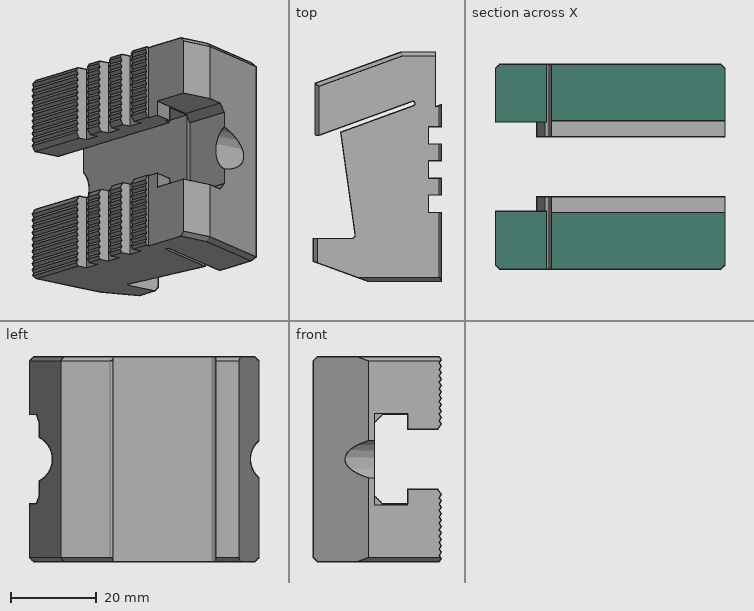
import math

import cadquery as cq

DEPTH = 30.0
LENGTH = 53.73
HEIGHT = 48.0

SLOPE = math.tan(math.radians(20))
FOOT_BEVEL_X = 12.95
FOOT_TOP_Y = 10.1
GRIP_TOP_X = 6.42
GRIP_TOP_Y = 34.95
GRIP_LEAN = math.tan(math.radians(8))
GRIP_FILLET = 0.8
JAW_FACE_X = 0.4
JAW_BACK_X = 28.65
BACK_STEP_Y = 41.4
JAW_CREST_X = 20.6
JAW_TIP_FILLET = 0.7
SLIT_WIDTH = 1.0
SLIT_END_X = 23.3
EDGE_CHAMFER = 1.0

TOOTH_PITCH = 1.5
TOOTH_DEPTH = 0.5
NOTCH_COUNT = 3
NOTCH_WIDTH = 4.0
NOTCH_PITCH = 8.0
NOTCH_DEPTH = 3.0
FIRST_NOTCH_Y = 16.2

T_FLOOR_X = 14.4
T_NECK_X = 22.1
T_NECK_HALF = 7.0
T_BODY_HALF = 10.7
T_JAW_HALF = 10.4
T_JAW_CHAMFER = 1.8

SCALLOP_RADIUS = 5.75
FRONT_SCALLOP_DEPTH = 2.0
REAR_SCALLOP_DEPTH = 5.35

CLEARANCE = 10.0


def slit_lower_y(x):
    """Y of the lower slit wall, a sloped line through the top of the grip face."""
    return GRIP_TOP_Y + (x - GRIP_TOP_X) * SLOPE


def slit_upper_y(x):
    """Y of the upper slit wall, the underside of the jaw."""
    return slit_lower_y(x) + SLIT_WIDTH * math.hypot(1, SLOPE)


def jaw_wall_y(x):
    """Y of the sloped outer jaw wall."""
    return LENGTH - (JAW_CREST_X - x) * SLOPE


def vertical_edge(solid, x, y):
    """The full-height edge of the solid nearest to (x, y)."""
    return solid.edges("|Z").edges(cq.selectors.NearestToPointSelector((x, y, 0)))


def make_body():
    """Extruded profile: foot, leaning grip face, slit, jaw and toothed back."""
    grip_base_x = GRIP_TOP_X + (GRIP_TOP_Y - FOOT_TOP_Y) * GRIP_LEAN
    along_x = math.cos(math.atan(SLOPE))
    along_y = math.sin(math.atan(SLOPE))
    radius = SLIT_WIDTH / 2
    centre_x = SLIT_END_X
    centre_y = slit_lower_y(centre_x) + radius * math.hypot(1, SLOPE)
    arc_low = (centre_x + radius * along_y, centre_y - radius * along_x)
    arc_mid = (centre_x + radius * along_x, centre_y + radius * along_y)
    arc_high = (centre_x - radius * along_y, centre_y + radius * along_x)

    jaw_tip_y = slit_upper_y(JAW_FACE_X)
    body = (
        cq.Workplane("XY", origin=(0, 0, -HEIGHT / 2))
        .moveTo(DEPTH, 0)
        .lineTo(FOOT_BEVEL_X, 0)
        .lineTo(0, FOOT_BEVEL_X * SLOPE)
        .lineTo(0, FOOT_TOP_Y)
        .lineTo(grip_base_x, FOOT_TOP_Y)
        .lineTo(GRIP_TOP_X, GRIP_TOP_Y)
        .lineTo(*arc_low)
        .threePointArc(arc_mid, arc_high)
        .lineTo(JAW_FACE_X, jaw_tip_y)
        .lineTo(JAW_FACE_X, jaw_wall_y(JAW_FACE_X))
        .lineTo(JAW_CREST_X, LENGTH)
        .lineTo(JAW_BACK_X, LENGTH)
        .lineTo(JAW_BACK_X, BACK_STEP_Y - (DEPTH - JAW_BACK_X) * SLOPE)
        .lineTo(DEPTH, BACK_STEP_Y)
        .close()
        .extrude(HEIGHT)
    )
    body = vertical_edge(body, grip_base_x, FOOT_TOP_Y).fillet(GRIP_FILLET)
    return vertical_edge(body, JAW_FACE_X, jaw_tip_y).fillet(JAW_TIP_FILLET)


def chamfer_cutter(start, end):
    """Wedges bevelling the top and bottom of the wall from start to end (material on the left)."""
    length = math.dist(start, end)
    wall = cq.Vector(end[0] - start[0], end[1] - start[1], 0)
    inward = cq.Vector(-wall.y, wall.x, 0)
    plane = cq.Plane(origin=(start[0], start[1], 0), xDir=inward, normal=wall)
    edge = HEIGHT / 2
    cutter = cq.Workplane(plane)
    for side in (1, -1):
        cutter = cutter.polyline(
            [
                (0, side * (edge - EDGE_CHAMFER)),
                (EDGE_CHAMFER, side * edge),
                (0, side * edge),
            ]
        ).close()
    return cutter.extrude(length)


def chamfer_walls(body):
    """Bevel the Z edges of the end walls, the foot face and the jaw."""
    foot_low = (0, 0)
    foot_high = (0, FOOT_TOP_Y)
    jaw_low = (JAW_FACE_X, slit_upper_y(JAW_FACE_X))
    jaw_high = (JAW_FACE_X, jaw_wall_y(JAW_FACE_X))
    walls = [
        ((0, 0), (DEPTH, 0)),
        (foot_high, foot_low),
        (jaw_high, jaw_low),
        ((JAW_CREST_X + CLEARANCE, jaw_wall_y(JAW_CREST_X + CLEARANCE)), jaw_high),
        ((DEPTH, LENGTH), (0, LENGTH)),
    ]
    for start, end in walls:
        body = body.cut(chamfer_cutter(start, end))
    return body


def t_slot_cutter():
    """T-slot below the jaw, opening into a lipless channel with chamfered floor corners in the jaw."""
    neck = cq.Workplane("XY").box(DEPTH, LENGTH, 2 * T_NECK_HALF, centered=(False, False, True))
    neck = neck.translate((T_FLOOR_X, 0, 0))
    body_channel = (
        cq.Workplane("XY", origin=(0, 0, -T_BODY_HALF))
        .polyline(
            [
                (T_FLOOR_X, 0),
                (T_NECK_X, 0),
                (T_NECK_X, slit_upper_y(T_NECK_X)),
                (T_FLOOR_X, slit_upper_y(T_FLOOR_X)),
            ]
        )
        .close()
        .extrude(2 * T_BODY_HALF)
    )
    jaw_channel = (
        cq.Workplane("XY", origin=(0, 0, -T_JAW_HALF))
        .polyline(
            [
                (T_FLOOR_X, slit_upper_y(T_FLOOR_X)),
                (DEPTH, slit_upper_y(DEPTH)),
                (DEPTH, LENGTH),
                (T_FLOOR_X, LENGTH),
            ]
        )
        .close()
        .extrude(2 * T_JAW_HALF)
        .edges("|Y and <X")
        .chamfer(T_JAW_CHAMFER)
    )
    return neck.union(body_channel).union(jaw_channel)


def cut_teeth(body):
    """V-grooves along Y on the +X face, mirrored about Z = 0."""
    flank = TOOTH_DEPTH / (TOOTH_PITCH / 2)
    root_x = DEPTH - TOOTH_DEPTH
    root_count = int((HEIGHT / 2 - T_NECK_HALF) // TOOTH_PITCH) + 1
    tooth_length = BACK_STEP_Y + CLEARANCE
    grooves = cq.Workplane("XZ")
    for side in (1, -1):
        for i in range(root_count - 1):
            root_z = HEIGHT / 2 - i * TOOTH_PITCH
            grooves = grooves.polyline(
                [
                    (DEPTH, side * (root_z - TOOTH_PITCH / 2)),
                    (root_x, side * root_z),
                    (DEPTH, side * (root_z + TOOTH_PITCH / 2)),
                ]
            ).close()
        last_tip_z = HEIGHT / 2 - (root_count - 1.5) * TOOTH_PITCH
        drop = (last_tip_z - T_NECK_HALF) * flank
        grooves = grooves.polyline(
            [
                (DEPTH, side * last_tip_z),
                (DEPTH - drop, side * T_NECK_HALF),
                (DEPTH, side * T_NECK_HALF),
            ]
        ).close()
    return body.cut(grooves.extrude(-tooth_length))


def cut_notches(body):
    """Rectangular cross notches through the full height of the toothed face."""
    for i in range(NOTCH_COUNT):
        notch = cq.Workplane("XY").box(NOTCH_DEPTH, NOTCH_WIDTH, HEIGHT, centered=(False, False, True))
        body = body.cut(notch.translate((DEPTH - NOTCH_DEPTH, FIRST_NOTCH_Y + i * NOTCH_PITCH, 0)))
    return body


def cut_scallops(body):
    """Shallow cylindrical channels along X in the -Y and +Y ends."""
    front_axis_y = FRONT_SCALLOP_DEPTH - SCALLOP_RADIUS
    rear_axis_y = LENGTH - REAR_SCALLOP_DEPTH + SCALLOP_RADIUS
    for axis_y in (front_axis_y, rear_axis_y):
        channel = cq.Workplane("YZ").center(axis_y, 0).circle(SCALLOP_RADIUS).extrude(DEPTH)
        body = body.cut(channel)
    return body


body = make_body()
body = chamfer_walls(body)
body = body.cut(t_slot_cutter())
body = cut_teeth(body)
body = cut_notches(body)
result = cut_scallops(body)